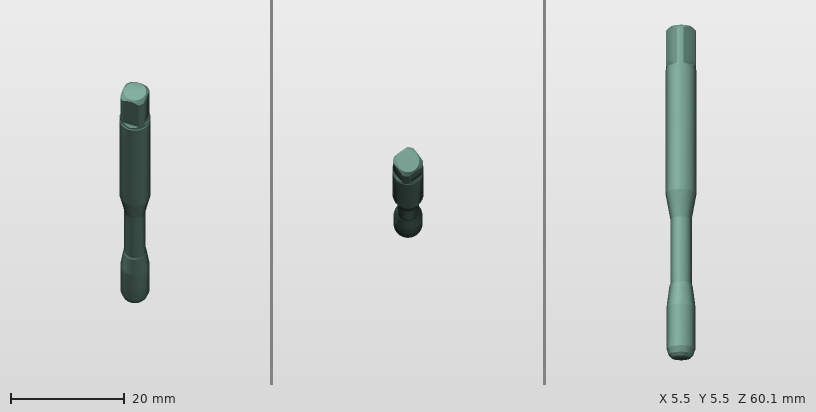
import cadquery as cq

TOTAL_LENGTH = 60.1
SHOULDER_Z = 52.35
SHOULDER_CHAMFER = 0.1
FLAT_END_Z = 53.1
SHANK_BOTTOM_Z = 30.0
NECK_TOP_Z = 25.25
HEAD_TOP_Z = 13.4
HEAD_CHAMFER = 0.3
HEAD_CONE_END_Z = 9.2
LEAD_START_Z = 1.6
TIP_CHAMFER = 0.55

SHANK_DIAMETER = 5.5
DRIVE_DIAMETER = 5.3
DRIVE_TOP_DIAMETER = 3.9
NECK_DIAMETER = 3.8
HEAD_TOP_DIAMETER = 4.1
HEAD_DIAMETER = 5.1
LEAD_END_DIAMETER = 4.4
TIP_DIAMETER = 3.4

ACROSS_FLATS = 4.45
DRIVE_CHAMFER_HEIGHT = 0.65
FLAT_COUNT = 4


def turned(stations):
    """Revolve (diameter, height) stations into a solid around the Z axis."""
    bottom_z = stations[0][1]
    top_z = stations[-1][1]
    outline = [(0, bottom_z)] + [(diameter / 2, z) for diameter, z in stations] + [(0, top_z)]
    return cq.Workplane("XZ").polyline(outline).close().revolve(360, (0, 0), (0, 1))


def flat_cutter():
    """Material removed for the +X drive flat, with a 45 degree run-out at its lower end."""
    flat_x = ACROSS_FLATS / 2
    outer_x = SHANK_DIAMETER / 2
    runout_depth = outer_x - flat_x
    return (
        cq.Workplane("XZ")
        .moveTo(flat_x, TOTAL_LENGTH)
        .lineTo(flat_x, FLAT_END_Z)
        .lineTo(outer_x, FLAT_END_Z - runout_depth)
        .lineTo(outer_x, TOTAL_LENGTH)
        .close()
        .extrude(SHANK_DIAMETER / 2, both=True)
    )


def make_shank():
    """Shank with the neck below it and the square drive above it."""
    shank = turned([
        (NECK_DIAMETER, HEAD_TOP_Z),
        (NECK_DIAMETER, NECK_TOP_Z),
        (SHANK_DIAMETER, SHANK_BOTTOM_Z),
        (SHANK_DIAMETER, SHOULDER_Z - SHOULDER_CHAMFER),
        (DRIVE_DIAMETER, SHOULDER_Z),
        (DRIVE_DIAMETER, TOTAL_LENGTH - DRIVE_CHAMFER_HEIGHT),
        (DRIVE_TOP_DIAMETER, TOTAL_LENGTH),
    ])
    for index in range(FLAT_COUNT):
        angle = index * 360 / FLAT_COUNT
        shank = shank.cut(flat_cutter().rotate((0, 0, 0), (0, 0, 1), angle))
    return shank


def make_head():
    """Working head: a chamfered cone, a cylinder and a tapered tip."""
    return turned([
        (TIP_DIAMETER, 0),
        (LEAD_END_DIAMETER, TIP_CHAMFER),
        (HEAD_DIAMETER, LEAD_START_Z),
        (HEAD_DIAMETER, HEAD_CONE_END_Z),
        (HEAD_TOP_DIAMETER, HEAD_TOP_Z - HEAD_CHAMFER),
        (NECK_DIAMETER, HEAD_TOP_Z),
    ])


shank = make_shank()
head = make_head()
result = cq.Compound.makeCompound([shank.val(), head.val()])